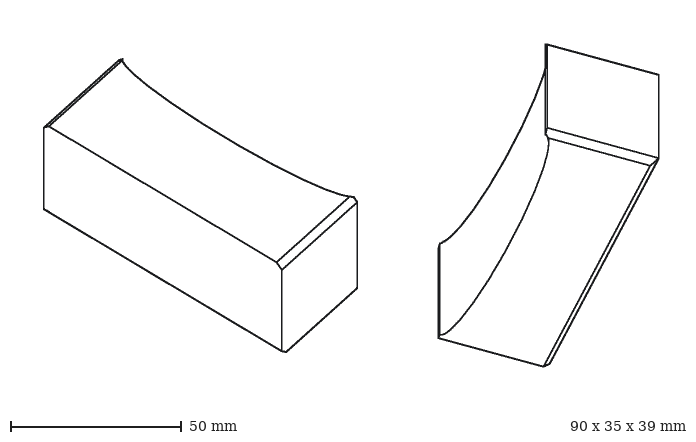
import cadquery as cq

length = 90.0
depth = 35.0
height = 39.0
chamfer = 2.0

hollow_half_width = 43.6
hollow_depth = 5.85


def chamfered_block():
    """Block with both top end edges, the bottom -X edge and the bottom front edge chamfered."""
    block = cq.Workplane("XY").box(length, depth, height)
    top_ends = block.faces(">Z").edges("|Y")
    bottom_left = block.faces("<Z").edges("<X")
    bottom_front = block.faces("<Z").edges("<Y")
    return top_ends.add(bottom_left).add(bottom_front).chamfer(chamfer)


def back_hollow():
    """Upright elliptical cylinder centred on the back face."""
    return (
        cq.Workplane("XY")
        .center(0, depth / 2)
        .ellipse(hollow_half_width, hollow_depth)
        .extrude(height / 2, both=True)
    )


result = chamfered_block().cut(back_hollow())